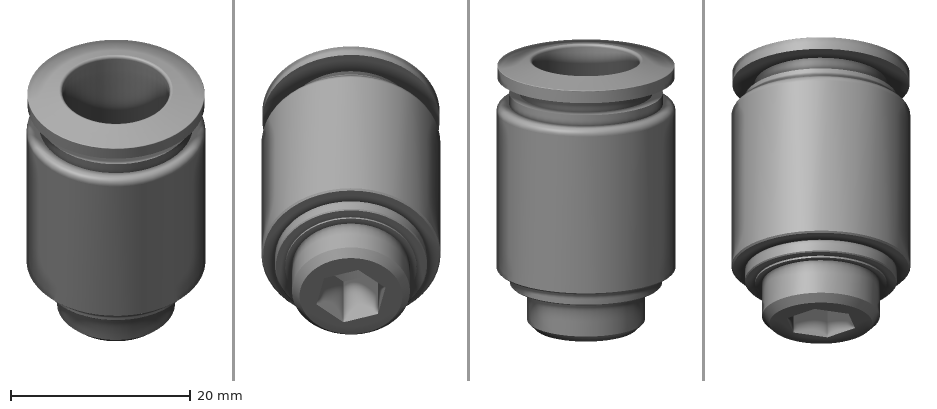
import cadquery as cq

total_height = 31.15
spigot_top = 4.8
seal_ring_bottom = 5.0
seal_ring_top = 6.5
body_bottom = 6.73
body_top = 26.03
collar_top = 27.28
flange_bottom = 29.1
flange_edge_top = 30.52

spigot_diameter = 13.17
neck_diameter = 14.7
seal_ring_diameter = 17.0
body_diameter = 20.0
collar_diameter = 17.2
sleeve_diameter = 14.9
flange_diameter = 19.8

bore_diameter = 12.0
bore_floor = body_bottom
hex_across_flats = 7.0
hex_sides = 6

spigot_chamfer = 0.85
seal_ring_chamfer = 0.12
body_bottom_chamfer = 0.2
body_top_fillet = 0.8
flange_edge_fillet = 0.1
bore_mouth_fillet = 0.35


def disc(diameter, bottom, top):
    """Solid cylinder on the Z axis between two heights."""
    return cq.Workplane("XY").workplane(offset=bottom).circle(diameter / 2).extrude(top - bottom)


def make_body():
    """Main barrel, chamfered below and rounded above."""
    barrel = disc(body_diameter, body_bottom, body_top)
    barrel = barrel.faces("<Z").edges().chamfer(body_bottom_chamfer)
    return barrel.faces(">Z").edges().fillet(body_top_fillet)


def make_flange():
    """Release flange with a shallow conical top around the bore mouth."""
    mouth_radius = bore_diameter / 2 + bore_mouth_fillet
    edge_radius = flange_diameter / 2
    profile = (
        cq.Workplane("XZ")
        .moveTo(0, flange_bottom)
        .lineTo(edge_radius, flange_bottom)
        .lineTo(edge_radius, flange_edge_top)
        .lineTo(mouth_radius, total_height)
        .lineTo(0, total_height)
        .close()
    )
    flange = profile.revolve(360, (0, 0, 0), (0, 1, 0))
    return flange.edges("%CIRCLE").edges(">>Z[-2]").fillet(flange_edge_fillet)


def make_bore():
    """Round tube bore with a flared, rounded mouth."""
    bore_radius = bore_diameter / 2
    mouth_radius = bore_radius + bore_mouth_fillet
    profile = (
        cq.Workplane("XZ")
        .moveTo(0, bore_floor)
        .lineTo(bore_radius, bore_floor)
        .lineTo(bore_radius, total_height - bore_mouth_fillet)
        .radiusArc((mouth_radius, total_height), bore_mouth_fillet)
        .lineTo(0, total_height)
        .close()
    )
    return profile.revolve(360, (0, 0, 0), (0, 1, 0))


def make_hex_socket():
    """Hexagonal through opening with two corners on the Y axis."""
    hexagon = cq.Workplane("XY").polygon(hex_sides, hex_across_flats, circumscribed=True)
    return hexagon.extrude(total_height)


spigot = disc(spigot_diameter, 0, spigot_top).faces("<Z").edges().chamfer(spigot_chamfer)
neck = disc(neck_diameter, spigot_top, body_bottom)
seal_ring = disc(seal_ring_diameter, seal_ring_bottom, seal_ring_top).faces("|Z").edges()
seal_ring = seal_ring.chamfer(seal_ring_chamfer)
collar = disc(collar_diameter, body_top, collar_top)
sleeve = disc(sleeve_diameter, collar_top, flange_bottom)

result = spigot
for section in (neck, seal_ring, make_body(), collar, sleeve, make_flange()):
    result = result.union(section)
result = result.cut(make_bore()).cut(make_hex_socket())